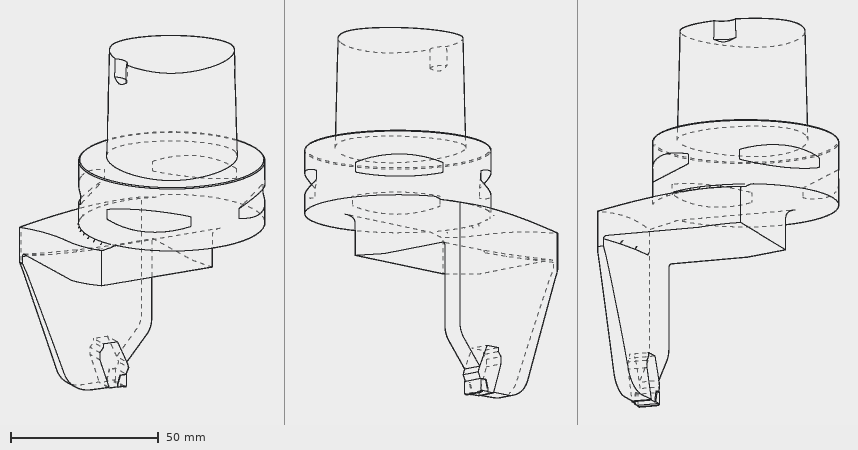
import cadquery as cq
import math


FLANGE_R = 63.0 / 2
FLANGE_H = 22.4
FLANGE_CHAMFER = 0.4

SHANK_H = 37.7
SHANK_BASE_R = 22.1
SHANK_TAPER = 1 / 40
LOBE_HEIGHT = 1.21
LOBE_COUNT = 3
OUTLINE_POINTS = 36

NOTCH_R = 5.1
NOTCH_AXIS_Y = -23.0
NOTCH_DEPTH = 6.5
DRILL_TIP_ANGLE = 118

SLOT_COUNT = 4
SLOT_Z = -12.14
SLOT_FLOOR_DISTANCE = 27.8
SLOT_FLOOR_H = 3.4
SLOT_WALL_ANGLE = 30
SLOT_FLOOR_FILLET = 0.5

HEAD_OUTER_X = -38.5
HEAD_OUTER_R = 686.3
HEAD_INNER_X = 10.8
HEAD_BACK_Y = 9.7
HEAD_FRONT_Y = -37.0
HEAD_BOTTOM_Z = -38.0
CORNER_CUT_X = 0.3
CORNER_CUT_Y = 0.6
FRONT_BEND_X = -5.6
FRONT_BEND_Y = -33.2
FRONT_BEND_R = 35.6
BOTTOM_RISE_X = -3.0
BOTTOM_RISE_ANGLE = 5.7
NECK_FILLET = 2.9

SHOULDER_R = 32.5
SHOULDER_Z = -23.5
SHOULDER_ANGLE = 15
SHOULDER_REACH = 63.5
SHOULDER_BLEND_TOP_Z = -22.5

BLADE_INNER_X = -31.4
BLADE_INNER_R = 118.2
BLADE_BOTTOM_Z = -88.6
BLADE_BACK_CORNER_Z = -69.8
BLADE_BACK_R = 7.6
SEAT_Y = 0
SEAT_Z = -80.6
BLADE_TOE_Y = -5.1
BLADE_NOSE_Y = -20.6
BLADE_NOSE_R = 9.9
FRONT_STEP_Z = -41.5
FRONT_SLOPE_Y = -35.5
FRONT_SLOPE_Z = -45.4
BLADE_ROOT_FILLET = 1.0

INSERT_OUTLINE = [
    (-3.5, -72.8), (-8.9, -72.8), (-8.9, -74.2), (-10.2, -75.8), (-10.2, -78.3),
    (-6.6, -88.8), (-0.3, -88.8), (-0.3, -84.8), (0.8, -82.6), (0.4, -81.3),
]
TIP_OUTLINE = [
    (-0.3, -84.8), (-2.7, -84.8), (-3.5, -87.7), (-3.5, -88.8),
    (-1.1, -88.8), (-1.0, -89.4), (-0.3, -89.4),
]
TIP_OUTER_X = -38.9
TIP_INNER_X = -31.0
TIP_CHAMFER = 0.5


def lobed_outline(mean_r, z):
    """Closed curve of constant width, with one lobe on +Y."""
    points = []
    for i in range(OUTLINE_POINTS):
        angle = 2 * math.pi * i / OUTLINE_POINTS
        phase = LOBE_COUNT * (angle - math.pi / 2)
        reach = mean_r + LOBE_HEIGHT * math.cos(phase)
        slide = -LOBE_COUNT * LOBE_HEIGHT * math.sin(phase)
        x = reach * math.cos(angle) - slide * math.sin(angle)
        y = reach * math.sin(angle) + slide * math.cos(angle)
        points.append(cq.Vector(x, y, z))
    return cq.Wire.assembleEdges([cq.Edge.makeSpline(points, periodic=True)])


def make_shank():
    top_r = SHANK_BASE_R - SHANK_H * SHANK_TAPER
    base = lobed_outline(SHANK_BASE_R, 0)
    top = lobed_outline(top_r, SHANK_H)
    shank = cq.Workplane(obj=cq.Solid.makeLoft([base, top]))
    return shank.cut(make_key_notch())


def make_key_notch():
    floor_z = SHANK_H - NOTCH_DEPTH
    tip_h = NOTCH_R / math.tan(math.radians(DRILL_TIP_ANGLE / 2))
    profile = [(0, SHANK_H), (NOTCH_R, SHANK_H), (NOTCH_R, floor_z), (0, floor_z - tip_h)]
    drill = cq.Workplane("XZ").polyline(profile).close().revolve(360, (0, 0), (0, 1))
    return drill.translate((0, NOTCH_AXIS_Y, 0))


def make_flange():
    flange = cq.Workplane("XY").circle(FLANGE_R).extrude(-FLANGE_H)
    flange = flange.faces(">Z").edges().chamfer(FLANGE_CHAMFER)
    for i in range(SLOT_COUNT):
        angle = (i + 0.5) * 360 / SLOT_COUNT
        flange = flange.cut(make_gripper_slot().rotate((0, 0, 0), (0, 0, 1), angle))
    return flange


def make_gripper_slot():
    """Straight slot on the +X side, with a flat floor and flared walls."""
    depth = FLANGE_R - SLOT_FLOOR_DISTANCE
    floor_half = SLOT_FLOOR_H / 2
    mouth_half = floor_half + depth * math.tan(math.radians(SLOT_WALL_ANGLE))
    section = [
        (SLOT_FLOOR_DISTANCE, SLOT_Z - floor_half),
        (FLANGE_R, SLOT_Z - mouth_half),
        (FLANGE_R, SLOT_Z + mouth_half),
        (SLOT_FLOOR_DISTANCE, SLOT_Z + floor_half),
    ]
    slot = cq.Workplane("XZ").polyline(section).close().extrude(FLANGE_R, both=True)
    return slot.faces("<X").edges("|Y").fillet(SLOT_FLOOR_FILLET)


def make_neck():
    """Cove between the flange and the back and inner sides of the head."""
    span = 4 * FLANGE_R
    plate = cq.Workplane("XY", origin=(0, 0, -FLANGE_H)).rect(span, span).extrude(FLANGE_H)
    quadrant = (
        cq.Workplane("XY", origin=(HEAD_INNER_X, HEAD_BACK_Y, -FLANGE_H))
        .rect(-span / 2, -span / 2, centered=False)
        .extrude(-2 * NECK_FILLET)
    )
    coved = plate.union(quadrant)
    inner_root = (HEAD_INNER_X, HEAD_BACK_Y - span / 4, -FLANGE_H)
    back_root = (HEAD_INNER_X - span / 4, HEAD_BACK_Y, -FLANGE_H)
    for root in [inner_root, back_root]:
        coved = coved.edges(cq.NearestToPointSelector(root)).fillet(NECK_FILLET)
    limits = (
        cq.Workplane("XY", origin=(HEAD_OUTER_X, FRONT_BEND_Y, -FLANGE_H))
        .rect(span, span, centered=False)
        .extrude(-2 * NECK_FILLET)
    )
    return coved.intersect(limits).intersect(make_shoulder())


def arc_drop(radius, distance):
    """How far an arc departs from the tangent at its crest, at a distance along that tangent."""
    return radius - math.sqrt(radius**2 - distance**2)


def outer_side_x(y):
    """X of the outer side, whose crest lies midway between Y = 0 and the back."""
    crest_y = HEAD_BACK_Y / 2
    crest_x = HEAD_OUTER_X + arc_drop(HEAD_OUTER_R, crest_y)
    return crest_x - arc_drop(HEAD_OUTER_R, y - crest_y)


def close_outer_side(outline):
    """Finish a plan outline from the front, along the outer side, to the back corner."""
    corner_y = HEAD_FRONT_Y + CORNER_CUT_Y
    middle_y = corner_y / 2
    corner = (outer_side_x(corner_y), corner_y)
    middle = (outer_side_x(middle_y), middle_y)
    return (
        outline.lineTo(corner[0] + CORNER_CUT_X, HEAD_FRONT_Y)
        .lineTo(*corner)
        .threePointArc(middle, (HEAD_OUTER_X, HEAD_BACK_Y))
        .close()
    )


def make_block():
    """Head block below the flange, before its shoulder is shaped."""
    outline = (
        cq.Workplane("XY", origin=(0, 0, HEAD_BOTTOM_Z))
        .moveTo(HEAD_OUTER_X, HEAD_BACK_Y)
        .lineTo(HEAD_INNER_X, HEAD_BACK_Y)
        .lineTo(HEAD_INNER_X, FRONT_BEND_Y)
        .radiusArc((FRONT_BEND_X, HEAD_FRONT_Y), FRONT_BEND_R)
    )
    block = close_outer_side(outline).extrude(-FLANGE_H - HEAD_BOTTOM_Z)
    run = HEAD_INNER_X - BOTTOM_RISE_X
    rise = run * math.tan(math.radians(BOTTOM_RISE_ANGLE))
    wedge = (
        cq.Workplane("XZ")
        .moveTo(BOTTOM_RISE_X, HEAD_BOTTOM_Z)
        .line(run, 0)
        .line(0, rise)
        .close()
        .extrude(SHOULDER_REACH, both=True)
    )
    return block.cut(wedge)


def make_shoulder():
    """Round envelope of the head: a cone that blends into the flange."""
    drop = (SHOULDER_REACH - SHOULDER_R) * math.tan(math.radians(SHOULDER_ANGLE))
    return (
        cq.Workplane("XZ")
        .moveTo(0, -FLANGE_H)
        .lineTo(FLANGE_R, -FLANGE_H)
        .lineTo(FLANGE_R, SHOULDER_BLEND_TOP_Z)
        .radiusArc((SHOULDER_R, SHOULDER_Z), -(SHOULDER_R - FLANGE_R))
        .lineTo(SHOULDER_REACH, SHOULDER_Z - drop)
        .lineTo(SHOULDER_REACH, BLADE_BOTTOM_Z)
        .lineTo(0, BLADE_BOTTOM_Z)
        .close()
        .revolve(360, (0, 0), (0, 1))
    )


def make_blade_band():
    """Plan section of the blade, extruded well past its lower end."""
    front_x = BLADE_INNER_X - arc_drop(BLADE_INNER_R, HEAD_FRONT_Y)
    middle_y = HEAD_FRONT_Y / 2
    middle_x = BLADE_INNER_X - arc_drop(BLADE_INNER_R, middle_y)
    outline = (
        cq.Workplane("XY", origin=(0, 0, -FLANGE_H))
        .moveTo(HEAD_OUTER_X, HEAD_BACK_Y)
        .lineTo(BLADE_INNER_X, HEAD_BACK_Y)
        .lineTo(BLADE_INNER_X, 0)
        .threePointArc((middle_x, middle_y), (front_x, HEAD_FRONT_Y))
    )
    return close_outer_side(outline).extrude(2 * BLADE_BOTTOM_Z)


def extrude_along_x(sketch, start_x, end_x):
    return sketch.extrude(end_x - start_x).translate((start_x, 0, 0))


def make_blade():
    profile = (
        cq.Workplane("YZ")
        .moveTo(HEAD_BACK_Y, -FLANGE_H)
        .lineTo(HEAD_BACK_Y, BLADE_BACK_CORNER_Z)
        .lineTo(SEAT_Y, SEAT_Z)
        .lineTo(BLADE_TOE_Y, BLADE_BOTTOM_Z)
        .lineTo(BLADE_NOSE_Y, BLADE_BOTTOM_Z)
        .lineTo(FRONT_SLOPE_Y, FRONT_SLOPE_Z)
        .tangentArcPoint((HEAD_FRONT_Y, FRONT_STEP_Z), relative=False)
        .lineTo(HEAD_FRONT_Y, -FLANGE_H)
        .close()
    )
    blade = extrude_along_x(profile, -SHOULDER_REACH, 0)
    back_corner = (-SHOULDER_REACH / 2, HEAD_BACK_Y, BLADE_BACK_CORNER_Z)
    nose_corner = (-SHOULDER_REACH / 2, BLADE_NOSE_Y, BLADE_BOTTOM_Z)
    blade = blade.edges(cq.NearestToPointSelector(back_corner)).fillet(BLADE_BACK_R)
    blade = blade.edges(cq.NearestToPointSelector(nose_corner)).fillet(BLADE_NOSE_R)
    return blade.intersect(make_blade_band())


def make_insert():
    body = cq.Workplane("YZ").polyline(INSERT_OUTLINE).close()
    body = extrude_along_x(body, -SHOULDER_REACH, 0).intersect(make_blade_band())
    tip = cq.Workplane("YZ").polyline(TIP_OUTLINE).close()
    tip = extrude_along_x(tip, TIP_OUTER_X, TIP_INNER_X)
    tip = tip.faces("<Z").edges("|Y").chamfer(TIP_CHAMFER)
    return body.union(tip)


def make_holder(insert):
    head = make_block().union(make_blade()).intersect(make_shoulder())
    root = (BLADE_INNER_X, HEAD_BACK_Y / 2, HEAD_BOTTOM_Z)
    head = head.edges(cq.NearestToPointSelector(root)).fillet(BLADE_ROOT_FILLET)
    holder = head.union(make_neck()).union(make_flange())
    return holder.union(make_shank()).cut(insert)


insert = make_insert()
holder = make_holder(insert)
result = cq.Compound.makeCompound([holder.val(), insert.val()])